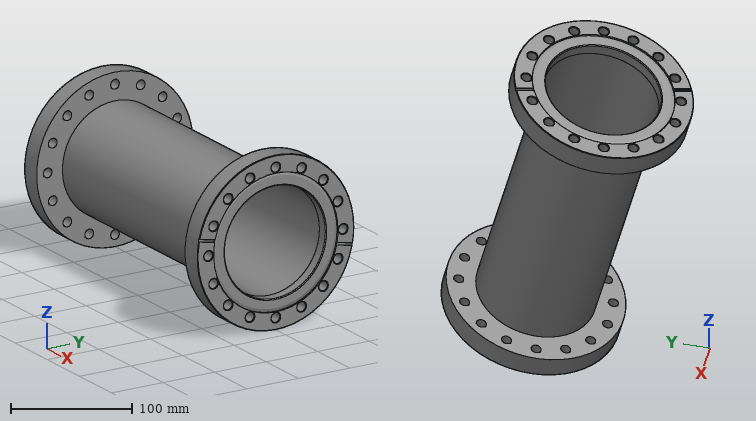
import cadquery as cq

overall_length = 269.8
flange_diameter = 152.0
flange_thickness = 19.5

pipe_outer_diameter = 102.0
bore_diameter = 98.0
socket_start_depth = 10.8

recess_diameter = 120.5
knife_edge_diameter = 115.2
knife_edge_depth = 0.8
recess_depth = 1.5

bolt_count = 16
bolt_circle_diameter = 130.5
bolt_hole_diameter = 8.4

edge_chamfer = 0.5
bore_chamfer = 0.8

groove_width = 2.2
groove_depth = 0.8
groove_angle = 180.0 / bolt_count

flange_face_x = -overall_length / 2


def make_flange_blank():
    """Revolve the flange profile: bore, pipe socket, seal recess and rim."""
    face_x = flange_face_x
    back_x = face_x + flange_thickness
    socket_x = face_x + socket_start_depth
    profile = (
        cq.Workplane("XY")
        .moveTo(face_x + edge_chamfer, flange_diameter / 2)
        .lineTo(face_x, flange_diameter / 2 - edge_chamfer)
        .lineTo(face_x, recess_diameter / 2)
        .lineTo(face_x + recess_depth, recess_diameter / 2)
        .lineTo(face_x + knife_edge_depth, knife_edge_diameter / 2)
        .lineTo(face_x + knife_edge_depth, bore_diameter / 2 + bore_chamfer)
        .lineTo(face_x + knife_edge_depth + bore_chamfer, bore_diameter / 2)
        .lineTo(socket_x, bore_diameter / 2)
        .lineTo(socket_x, pipe_outer_diameter / 2)
        .lineTo(back_x, pipe_outer_diameter / 2)
        .lineTo(back_x, flange_diameter / 2)
        .close()
    )
    return profile.revolve(360, (0, 0, 0), (1, 0, 0))


def make_bolt_hole_cutter():
    """One bolt hole at the top of the bolt circle, with its chamfered mouth."""
    hole_radius = bolt_hole_diameter / 2
    hole_centre = bolt_circle_diameter / 2
    face_x = flange_face_x
    back_x = face_x + flange_thickness
    half_section = (
        cq.Workplane("XZ", origin=(0, 0, hole_centre))
        .moveTo(face_x, 0)
        .lineTo(face_x, hole_radius + edge_chamfer)
        .lineTo(face_x + edge_chamfer, hole_radius)
        .lineTo(back_x, hole_radius)
        .lineTo(back_x, 0)
        .close()
    )
    return half_section.revolve(360, (0, 0, 0), (1, 0, 0))


def make_leak_grooves():
    """Two opposite radial slots from the seal recess out through the rim."""
    inner_radius = knife_edge_diameter / 2
    outer_radius = flange_diameter / 2 + groove_width
    middle_radius = (inner_radius + outer_radius) / 2
    grooves = (
        cq.Workplane("YZ", origin=(flange_face_x, 0, 0))
        .pushPoints([(-middle_radius, 0), (middle_radius, 0)])
        .rect(outer_radius - inner_radius, groove_width)
        .extrude(groove_depth)
    )
    return grooves.rotate((0, 0, 0), (1, 0, 0), -groove_angle)


def make_flange():
    """Flange at the -X end of the pipe."""
    flange = make_flange_blank().cut(make_leak_grooves())
    hole_cutter = make_bolt_hole_cutter()
    for index in range(bolt_count):
        angle = index * 360.0 / bolt_count
        flange = flange.cut(hole_cutter.rotate((0, 0, 0), (1, 0, 0), angle))
    return flange


def make_pipe():
    """Plain tube that reaches into the socket of both flanges."""
    pipe_length = overall_length - 2 * socket_start_depth
    return (
        cq.Workplane("YZ", origin=(-pipe_length / 2, 0, 0))
        .circle(pipe_outer_diameter / 2)
        .circle(bore_diameter / 2)
        .extrude(pipe_length)
    )


pipe = make_pipe()
left_flange = make_flange()
right_flange = left_flange.mirror("YZ")

result = cq.Compound.makeCompound([pipe.val(), left_flange.val(), right_flange.val()])